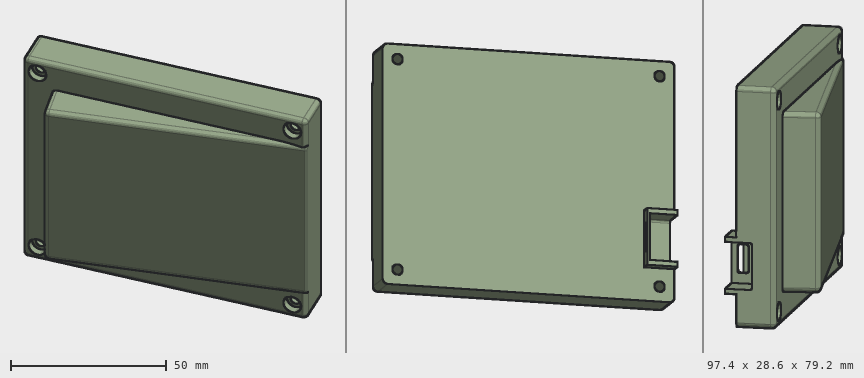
import cadquery as cq
import math

plate_width = 97.35
plate_height = 79.2
plate_depth = 12.9
edge_radius = 1.7

panel_left = 10.0
panel_rise = 12.2
panel_tilt = math.radians(8)
panel_margin = 10.0
panel_end_radius = 0.6
panel_root = edge_radius + 1.0

hole_inset = 5.0
hole_diameter = 3.4
counterbore_diameter = 6.0
counterbore_depth = 3.0

housing_length = 10.1
housing_overhang = 3.7
housing_bottom = 11.0
housing_height = 18.7
housing_wall = 1.7
housing_end_wall = 1.0
recess_depth = 8.9
recess_corner_radius = 0.8
slot_width = 3.6
slot_height = 9.4
slot_back_offset = 2.0
slot_bottom = 16.1
slot_corner_radius = 0.8

housing_back = plate_depth + housing_overhang


def box(x, y, z, length, depth, height):
    """Box given by its lowest corner and its size."""
    return cq.Workplane("XY").box(length, depth, height, centered=False).translate((x, y, z))


def make_plate():
    plate = box(0, 0, 0, plate_width, plate_depth, plate_height)
    return plate.edges("|Y or <Y").fillet(edge_radius)


def make_panel():
    """Wedge whose left wall is square to its sloping face; its root is buried in the plate."""
    corner_x = panel_left + panel_rise * math.tan(panel_tilt)
    root_left = panel_left - panel_root * math.tan(panel_tilt)
    end_y = -panel_rise + (plate_width - corner_x) * math.tan(panel_tilt)
    panel = (
        cq.Workplane("XY")
        .moveTo(root_left, panel_root)
        .lineTo(corner_x, -panel_rise)
        .lineTo(plate_width, end_y)
        .lineTo(plate_width, panel_root)
        .close()
        .extrude(plate_height - 2 * panel_margin)
        .translate((0, 0, panel_margin))
    )
    outward = cq.Vector(math.sin(panel_tilt), -math.cos(panel_tilt), 0)
    leftward = cq.Vector(-math.cos(panel_tilt), -math.sin(panel_tilt), 0)
    sloping_face = cq.selectors.DirectionMinMaxSelector(outward)
    left_wall = cq.selectors.DirectionMinMaxSelector(leftward)
    panel_rim = panel.faces(sloping_face).edges("not >X")
    left_corners = panel.faces(left_wall).edges("#Z")
    panel = panel_rim.add(left_corners).fillet(edge_radius)
    return panel.faces(">X").edges("<Y").fillet(panel_end_radius)


def add_housing(body):
    shell = box(
        0, housing_back - recess_depth, housing_bottom,
        housing_length, recess_depth, housing_height,
    )
    recess = box(
        0, housing_back - recess_depth, housing_bottom + housing_wall,
        housing_length - housing_end_wall, recess_depth, housing_height - 2 * housing_wall,
    ).edges("|X and <Y").fillet(recess_corner_radius)
    slot = box(
        0, housing_back - slot_back_offset - slot_width, slot_bottom,
        housing_length, slot_width, slot_height,
    ).edges("|X").fillet(slot_corner_radius)
    return body.union(shell).cut(recess).cut(slot)


def cut_screw_holes(body):
    for x in (hole_inset, plate_width - hole_inset):
        for z in (hole_inset, plate_height - hole_inset):
            front = cq.Workplane("XZ", origin=(x, 0, z))
            body = body.cut(front.circle(hole_diameter / 2).extrude(-plate_depth))
            body = body.cut(front.circle(counterbore_diameter / 2).extrude(-counterbore_depth))
    return body


result = cut_screw_holes(add_housing(make_plate().union(make_panel())))